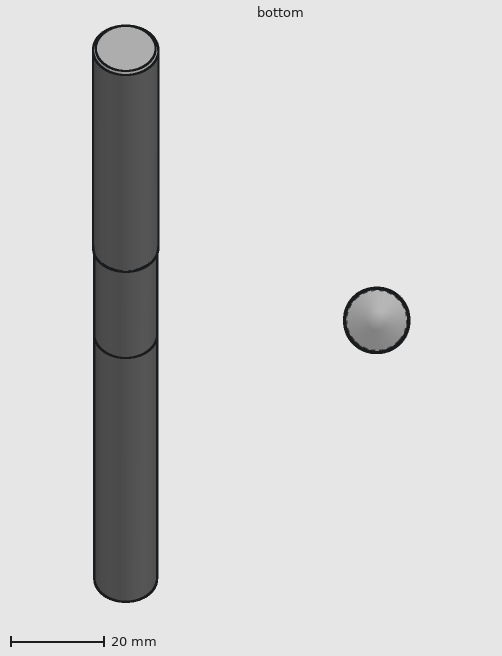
import cadquery as cq
import math

total_length = 176.0
shank_diameter = 14.0
shank_length = 65.1
shank_chamfer = 0.62
neck_diameter = 13.5
neck_length = 28.5
cutter_diameter = 13.5
point_angle = 140.0

shank_radius = shank_diameter / 2
neck_radius = neck_diameter / 2
cutter_radius = cutter_diameter / 2
point_height = cutter_radius / math.tan(math.radians(point_angle / 2))
shank_bottom = total_length - shank_length
neck_bottom = shank_bottom - neck_length


def make_holder():
    """Chamfered shank with a slightly thinner neck below it."""
    shank = (
        cq.Workplane("XY")
        .workplane(offset=shank_bottom)
        .circle(shank_radius)
        .extrude(shank_length)
        .faces(">Z")
        .chamfer(shank_chamfer)
    )
    neck = (
        cq.Workplane("XY")
        .workplane(offset=neck_bottom)
        .circle(neck_radius)
        .extrude(neck_length)
    )
    return shank.union(neck)


def make_cutter():
    """Cylindrical cutting part that ends in a conical point."""
    return (
        cq.Workplane("XZ")
        .moveTo(0, 0)
        .lineTo(cutter_radius, point_height)
        .lineTo(cutter_radius, neck_bottom)
        .lineTo(0, neck_bottom)
        .close()
        .revolve(360, (0, 0, 0), (0, 1, 0))
    )


holder = make_holder()
cutter = make_cutter()

result = cq.Compound.makeCompound([holder.val(), cutter.val()])